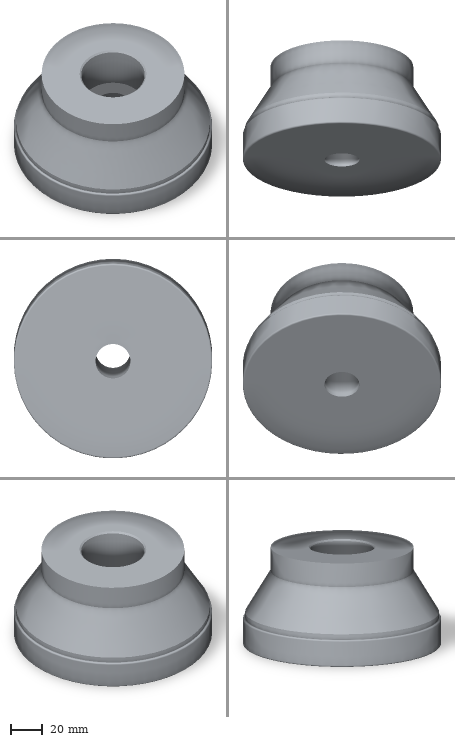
import cadquery as cq

through_hole_diameter = 22.0

base_diameter = 125.0
base_height = 17.5
base_edge_radius = 1.0

total_height = 63.0
hub_foot_diameter = 122.2
hub_foot_height = 3.5
hub_neck_diameter = 90.0
hub_neck_height = 15.2
hub_bore_diameter = 40.0
hub_bore_depth = 28.0
hub_bore_chamfer = 1.0


def make_base():
    """Flat disc with rounded rims and a central through hole."""
    disc = cq.Workplane("XY").circle(base_diameter / 2).extrude(base_height)
    disc = disc.edges().fillet(base_edge_radius)
    return disc.faces(">Z").workplane().hole(through_hole_diameter)


def make_hub():
    """Revolved hub: short cylindrical foot, cone, cylindrical neck and a stepped, chamfered bore."""
    hole_radius = through_hole_diameter / 2
    bore_radius = hub_bore_diameter / 2
    foot_radius = hub_foot_diameter / 2
    neck_radius = hub_neck_diameter / 2
    cone_bottom = base_height + hub_foot_height
    cone_top = total_height - hub_neck_height
    bore_floor = total_height - hub_bore_depth
    profile = (
        cq.Workplane("XZ")
        .moveTo(hole_radius, base_height)
        .lineTo(foot_radius, base_height)
        .lineTo(foot_radius, cone_bottom)
        .lineTo(neck_radius, cone_top)
        .lineTo(neck_radius, total_height)
        .lineTo(bore_radius + hub_bore_chamfer, total_height)
        .lineTo(bore_radius, total_height - hub_bore_chamfer)
        .lineTo(bore_radius, bore_floor)
        .lineTo(hole_radius, bore_floor)
        .close()
    )
    return profile.revolve(360, (0, 0, 0), (0, 1, 0))


base = make_base()
hub = make_hub()

result = cq.Compound.makeCompound([base.val(), hub.val()])